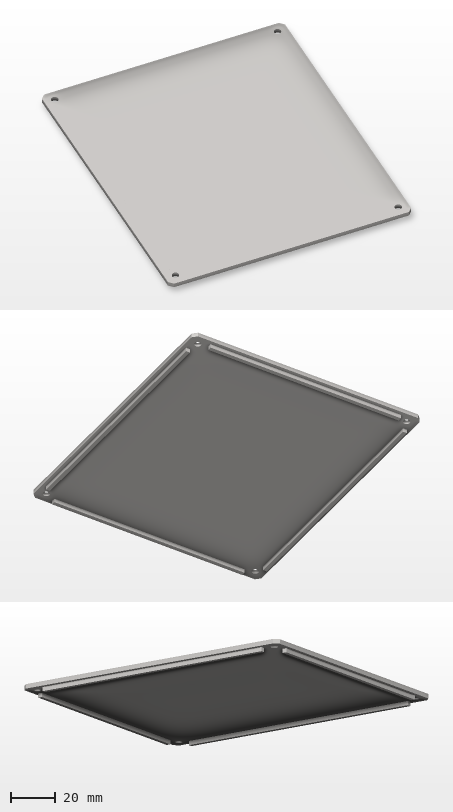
import cadquery as cq

length = 140.0
width = 120.0
total_height = 4.0
plate_thickness = 2.1
corner_chamfer = 2.1

rib_height = total_height - plate_thickness
rib_thickness = 2.0
rib_edge_gap = 2.0
rib_end_gap = 10.0

hole_diameter = 3.4
hole_inset = 5.0


def cover_plate():
    """Plate with chamfered corners and its underside at Z = 0."""
    plate = cq.Workplane("XY").rect(length, width).extrude(plate_thickness)
    return plate.edges("|Z").chamfer(corner_chamfer)


def edge_ribs():
    """Four separate ribs hanging below the plate, parallel to its edges."""
    rib_inset = rib_edge_gap + rib_thickness / 2
    rib_x = length / 2 - rib_inset
    rib_y = width / 2 - rib_inset
    long_ribs = (
        cq.Workplane("XY")
        .pushPoints([(0, -rib_y), (0, rib_y)])
        .rect(length - 2 * rib_end_gap, rib_thickness)
        .extrude(-rib_height)
    )
    short_ribs = (
        cq.Workplane("XY")
        .pushPoints([(-rib_x, 0), (rib_x, 0)])
        .rect(rib_thickness, width - 2 * rib_end_gap)
        .extrude(-rib_height)
    )
    return long_ribs.add(short_ribs).combine()


def fixing_holes():
    """Cutters for the through holes in the four plate corners."""
    holes = cq.Workplane("XY").rect(length - 2 * hole_inset, width - 2 * hole_inset, forConstruction=True)
    return holes.vertices().circle(hole_diameter / 2).extrude(plate_thickness)


result = cover_plate().union(edge_ribs()).cut(fixing_holes())